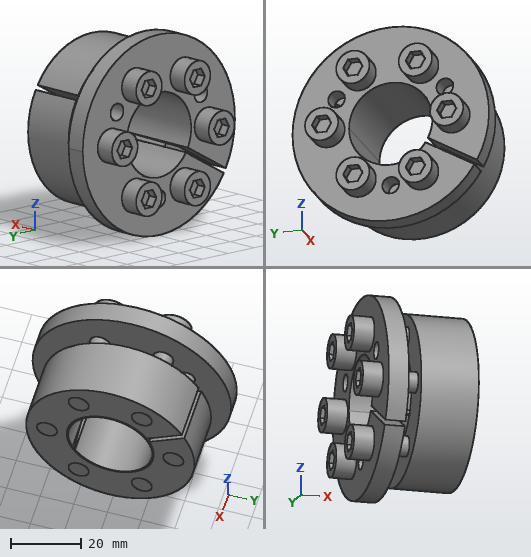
import cadquery as cq
import math


HEAD_LENGTH = 6.0
FLANGE_THICKNESS = 5.95
GAP = 4.95
RING_LENGTH = 17.05
RING_START = FLANGE_THICKNESS + GAP
RING_END = RING_START + RING_LENGTH

FLANGE_DIAMETER = 59.0
BORE_DIAMETER = 25.0
RING_DIAMETER = 50.0
TAPER_ANGLE = 5.0
CONE_END_RADIUS = 12.9
CONE_FLANGE_RADIUS = CONE_END_RADIUS + (GAP + RING_LENGTH) * math.tan(math.radians(TAPER_ANGLE))
CONE_RING_RADIUS = CONE_END_RADIUS + RING_LENGTH * math.tan(math.radians(TAPER_ANGLE))

SLOT_WIDTH = 1.5
RING_SLOT_ANGLE = 30.0
SLEEVE_SLOT_ANGLE = RING_SLOT_ANGLE + 180.0

PITCH_RADIUS = 18.75
SCREW_COUNT = 6
HEAD_DIAMETER = 9.95
SHANK_DIAMETER = 6.0
HEX_ACROSS_FLATS = 5.0
HEX_DEPTH = 2.95
JACK_COUNT = 3
JACK_DIAMETER = 5.0
JACK_START_ANGLE = 30.0


def disc(x_start, x_end, diameter):
    """Solid cylinder about the axis."""
    return cq.Workplane("YZ", origin=(x_start, 0, 0)).circle(diameter / 2).extrude(x_end - x_start)


def cone(x_start, x_end, start_radius, end_radius):
    """Solid truncated cone about the axis."""
    profile = [(x_start, 0), (x_start, start_radius), (x_end, end_radius), (x_end, 0)]
    return cq.Workplane("XY").polyline(profile).close().revolve(360, (0, 0, 0), (1, 0, 0))


def slot_cutter(angle):
    """Slab that runs the whole length and from the axis out past the flange rim."""
    reach = FLANGE_DIAMETER
    slab = cq.Workplane("XY").box(RING_END, reach, SLOT_WIDTH, centered=(False, False, True))
    return slab.rotate((0, 0, 0), (1, 0, 0), angle)


def pitch_points(count, start_angle):
    """Evenly spaced (Y, Z) points on the pitch circle."""
    angles = [math.radians(start_angle + 360 * i / count) for i in range(count)]
    return [(PITCH_RADIUS * math.cos(a), PITCH_RADIUS * math.sin(a)) for a in angles]


def pitch_holes(diameter, points):
    """Cutters for holes that pass through every body."""
    return cq.Workplane("YZ").pushPoints(points).circle(diameter / 2).extrude(RING_END)


SCREW_POINTS = pitch_points(SCREW_COUNT, 0.0)
JACK_POINTS = pitch_points(JACK_COUNT, JACK_START_ANGLE)


def make_sleeve():
    """Flange and tapered sleeve, bored and split along one side."""
    sleeve = disc(0, FLANGE_THICKNESS, FLANGE_DIAMETER)
    sleeve = sleeve.union(cone(FLANGE_THICKNESS, RING_END, CONE_FLANGE_RADIUS, CONE_END_RADIUS))
    sleeve = sleeve.cut(disc(0, RING_END, BORE_DIAMETER))
    sleeve = sleeve.cut(pitch_holes(SHANK_DIAMETER, SCREW_POINTS))
    sleeve = sleeve.cut(pitch_holes(JACK_DIAMETER, JACK_POINTS))
    return sleeve.cut(slot_cutter(SLEEVE_SLOT_ANGLE))


def make_outer_ring():
    """Split ring whose tapered bore rides on the sleeve."""
    ring = disc(RING_START, RING_END, RING_DIAMETER)
    ring = ring.cut(cone(RING_START, RING_END, CONE_RING_RADIUS, CONE_END_RADIUS))
    ring = ring.cut(pitch_holes(SHANK_DIAMETER, SCREW_POINTS))
    return ring.cut(slot_cutter(RING_SLOT_ANGLE))


def make_screw(y, z):
    """Hex socket cap screw seated on the flange, its shank ending flush with the ring."""
    head = disc(-HEAD_LENGTH, 0, HEAD_DIAMETER)
    shank = disc(0, RING_END, SHANK_DIAMETER)
    hex_diameter = HEX_ACROSS_FLATS / math.cos(math.radians(30))
    socket = cq.Workplane("YZ", origin=(-HEAD_LENGTH, 0, 0)).polygon(6, hex_diameter).extrude(HEX_DEPTH)
    return head.union(shank).cut(socket).translate((0, y, z))


sleeve = make_sleeve()
outer_ring = make_outer_ring()
screws = [make_screw(y, z) for y, z in SCREW_POINTS]

result = cq.Compound.makeCompound([sleeve.val(), outer_ring.val(), *[screw.val() for screw in screws]])